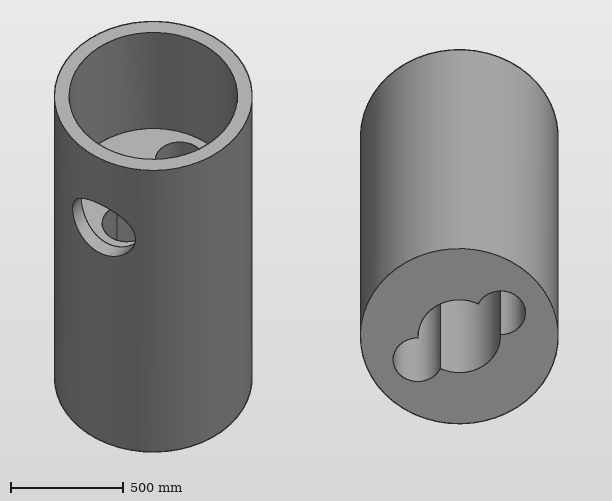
import cadquery as cq

height = 1907.0
outer_diameter = 880.0
bore_diameter = 750.0
floor_height = 1256.0

window_diameter = 332.0
window_height = 1434.0

passage_diameter = 366.0
lobe_diameter = 220.0
lobe_offset = 220.0


def vertical_cylinder(diameter, length, y=0.0, z=0.0):
    """Cylinder on the YZ plane of symmetry, rising from height z."""
    return cq.Workplane("XY", origin=(0, y, z)).circle(diameter / 2).extrude(length)


body = vertical_cylinder(outer_diameter, height)
body = body.cut(vertical_cylinder(bore_diameter, height - floor_height, z=floor_height))

body = body.cut(vertical_cylinder(passage_diameter, floor_height))
for side in (-1, 1):
    body = body.cut(vertical_cylinder(lobe_diameter, floor_height, y=side * lobe_offset))

window = (
    cq.Workplane("XZ", origin=(0, 0, window_height))
    .circle(window_diameter / 2)
    .extrude(outer_diameter / 2)
)
result = body.cut(window)